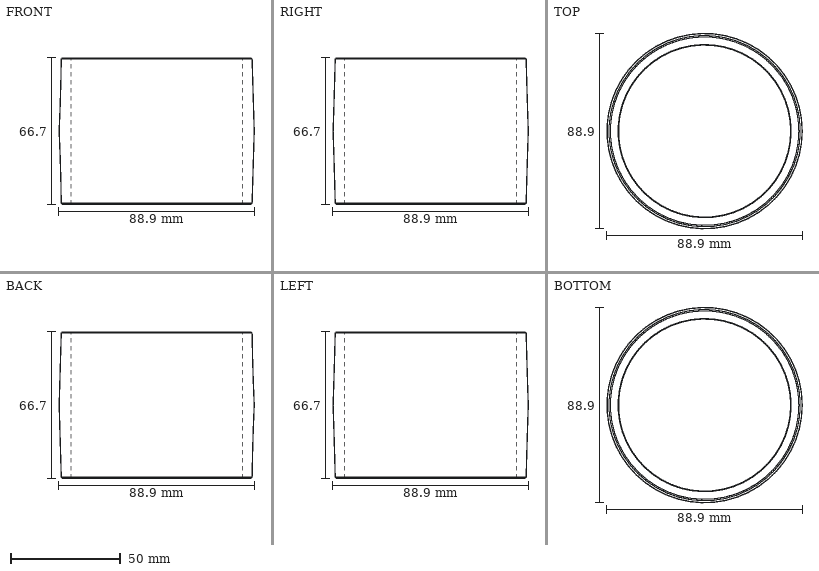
import cadquery as cq

height = 66.7
middle_diameter = 88.9
end_diameter = 86.9
bore_diameter = 78.2
middle_band_height = 0.45
outer_edge_break = 0.6
bore_edge_break = 0.3

half_height = height / 2
half_band = middle_band_height / 2
middle_radius = middle_diameter / 2
end_radius = end_diameter / 2

outer_profile = [
    (0, -half_height),
    (end_radius, -half_height),
    (middle_radius, -half_band),
    (middle_radius, half_band),
    (end_radius, half_height),
    (0, half_height),
]
body = cq.Workplane("XZ").polyline(outer_profile).close().revolve(360, (0, 0, 0), (0, 1, 0))

body = body.faces("<Z or >Z").edges().chamfer(outer_edge_break)

bore = cq.Workplane("XY", origin=(0, 0, -half_height)).circle(bore_diameter / 2).extrude(height)
body = body.cut(bore)
mouth_edges = cq.selectors.RadiusNthSelector(0)
result = body.faces("<Z or >Z").edges(mouth_edges).chamfer(bore_edge_break)